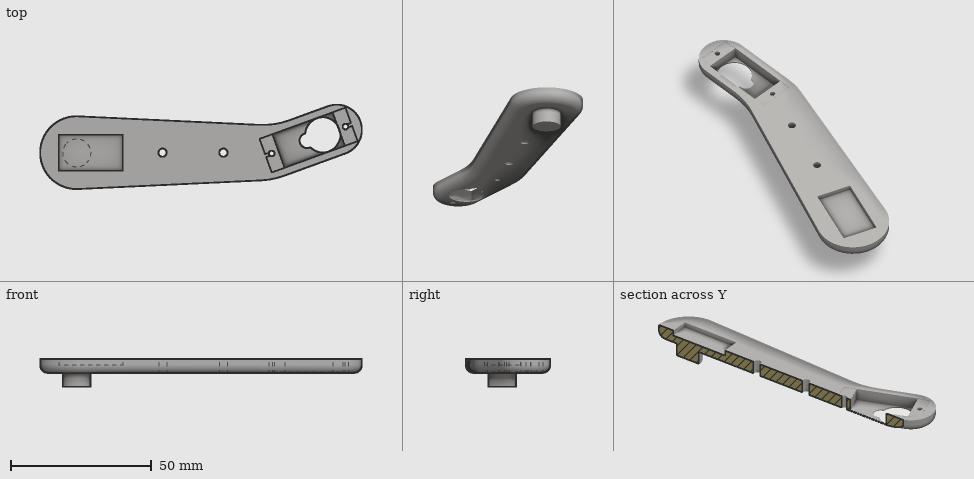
import cadquery as cq
import math

LENGTH = 114.5
WIDTH = 30.1
HEIGHT = 10.0
LARGE_RADIUS = 26.0 / 2
TIP_RADIUS = 18.0 / 2
TIP_X = LENGTH - LARGE_RADIUS - TIP_RADIUS
TIP_Y = WIDTH - LARGE_RADIUS - TIP_RADIUS
BEND_ANGLE = 20.0
TAPER_ANGLE = 2.7
BEND_RADIUS = 27.5
THICKNESS = 5.0
EDGE_RADIUS = 3.0

PIN_DIAMETER = 10.0
PIN_LENGTH = HEIGHT - THICKNESS

POCKET_LENGTH = 22.8
POCKET_WIDTH = 12.8
POCKET_CENTER_X = 5.0
POCKET_DEPTH = 2.1
SCREW_DIAMETER = 2.9
SCREW_POSITIONS = (30.6, 52.2)

SERVO_WIDTH = 12.7
BODY_LENGTH = 22.8
BODY_CENTER = -10.6
BODY_FLOOR = 0.5
TAB_SPAN = 32.5
TAB_DEPTH = 0.1
TAB_HOLE_DIAMETER = 2.0
TAB_HOLE_SPACING = 27.9
TAB_SLOT_WIDTH = 1.1
GEAR_DIAMETER = 12.5
GEAR_CENTER = -5.3
IDLER_DIAMETER = 5.3
IDLER_CENTER = -11.2


def along(start, angle, distance):
    """Point at a distance from start in the direction of angle (degrees)."""
    turn = math.radians(angle)
    return start[0] + distance * math.cos(turn), start[1] + distance * math.sin(turn)


def edge_corner(side):
    """Where the straight edges of arm and tip meet: side is 1 (upper) or -1 (lower)."""
    taper = math.radians(TAPER_ANGLE)
    bend = math.radians(BEND_ANGLE)
    arm_height = side * LARGE_RADIUS
    arm_slope = -side * math.tan(taper)
    tip_slope = math.tan(bend)
    tip_height = TIP_Y - TIP_X * tip_slope + side * TIP_RADIUS / math.cos(bend)
    x = (arm_height - tip_height) / (tip_slope - arm_slope)
    return x, arm_height + arm_slope * x


def make_plate():
    tip = (TIP_X, TIP_Y)
    outline = (
        cq.Workplane("XY")
        .moveTo(0, -LARGE_RADIUS)
        .lineTo(*edge_corner(-1))
        .lineTo(*along(tip, BEND_ANGLE - 90, TIP_RADIUS))
        .threePointArc(along(tip, BEND_ANGLE, TIP_RADIUS), along(tip, BEND_ANGLE + 90, TIP_RADIUS))
        .lineTo(*edge_corner(1))
        .lineTo(0, LARGE_RADIUS)
        .threePointArc((-LARGE_RADIUS, 0), (0, -LARGE_RADIUS))
        .close()
    )
    plate = outline.extrude(THICKNESS)
    for side in (-1, 1):
        corner = cq.selectors.NearestToPointSelector((*edge_corner(side), THICKNESS / 2))
        plate = plate.edges("|Z").edges(corner).fillet(BEND_RADIUS)
    return plate.faces("<Z").edges().fillet(EDGE_RADIUS)


def make_servo_cutter():
    """Servo seat built along X about the tip centre, then turned and moved onto the tip."""
    floor = cq.Workplane("XY")
    body = (
        floor.workplane(offset=BODY_FLOOR)
        .center(BODY_CENTER, 0)
        .rect(BODY_LENGTH, SERVO_WIDTH)
        .extrude(THICKNESS)
    )
    tabs = (
        floor.workplane(offset=THICKNESS - TAB_DEPTH)
        .center(BODY_CENTER, 0)
        .rect(TAB_SPAN, SERVO_WIDTH)
        .extrude(TAB_DEPTH)
    )
    slot_length = (TAB_SPAN - TAB_HOLE_SPACING) / 2
    slot_centers = [(BODY_CENTER + end * (TAB_SPAN - slot_length) / 2, 0) for end in (-1, 1)]
    hole_centers = [(BODY_CENTER + end * TAB_HOLE_SPACING / 2, 0) for end in (-1, 1)]
    slots = floor.pushPoints(slot_centers).rect(slot_length, TAB_SLOT_WIDTH).extrude(THICKNESS)
    holes = floor.pushPoints(hole_centers).circle(TAB_HOLE_DIAMETER / 2).extrude(THICKNESS)
    gear = floor.center(GEAR_CENTER, 0).circle(GEAR_DIAMETER / 2).extrude(BODY_FLOOR)
    idler = floor.center(IDLER_CENTER, 0).circle(IDLER_DIAMETER / 2).extrude(BODY_FLOOR)
    cutter = tabs.cut(slots).union(body).union(holes).union(gear).union(idler)
    return cutter.rotate((0, 0, 0), (0, 0, 1), BEND_ANGLE).translate((TIP_X, TIP_Y, 0))


plate = make_plate()
pin = cq.Workplane("XY").circle(PIN_DIAMETER / 2).extrude(-PIN_LENGTH)
pocket = (
    cq.Workplane("XY")
    .workplane(offset=THICKNESS - POCKET_DEPTH)
    .center(POCKET_CENTER_X, 0)
    .rect(POCKET_LENGTH, POCKET_WIDTH)
    .extrude(POCKET_DEPTH)
)
screw_holes = (
    cq.Workplane("XY")
    .pushPoints([(x, 0) for x in SCREW_POSITIONS])
    .circle(SCREW_DIAMETER / 2)
    .extrude(THICKNESS)
)
result = plate.union(pin).cut(pocket).cut(screw_holes).cut(make_servo_cutter())